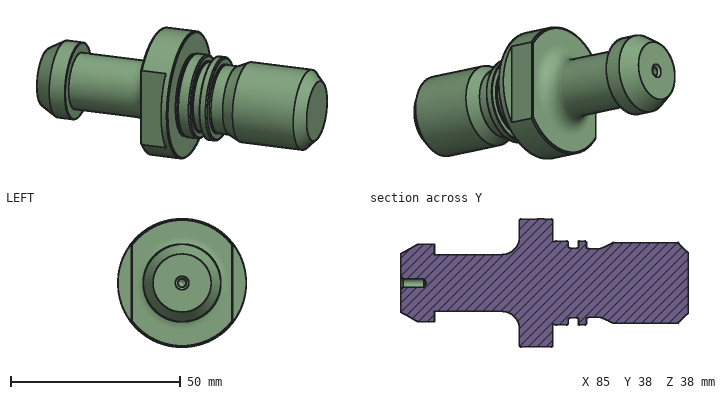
import cadquery as cq
import math

total_length = 85.0

head_radius = 23.0 / 2
nose_radius = 8.8
nose_edge_break = 0.25
head_cone_length = 5.0
head_end = 2 * head_cone_length
head_edge_break = 0.2

shank_radius = 16.9 / 2
shank_end_radius = 17.0 / 2
shank_front_taper = 0.6
shank_rear_taper = 0.3

flange_radius = 38.0 / 2
flange_start = 35.0
flange_end = 45.0
flange_front_break = 0.4
flange_rear_break = 0.3
flange_fillet_radius = 5.0
fillet_start = flange_start - flange_fillet_radius
flats_width = 30.0
flats_end = 42.9
flats_edge_break = 0.25

collar_radius = 25.0 / 2
collar_root_radius = 24.6 / 2
collar_root_length = 0.5
collar_root_taper = 0.5
collar_end = 49.55
ring_start = 52.5
ring_end = 54.9
rear_edge_break = 0.4
ring_front_break = 0.2
groove_radius = 20.8 / 2
groove_corner = 0.3

neck_radius = 20.5 / 2
neck_taper = 0.5
neck_end = 59.1
thread_radius = 24.0 / 2
thread_start = 62.8
thread_chamfer = 3.1

hole_radius = 2.5 / 2
hole_mouth_radius = 4.0 / 2
hole_depth = 6.8
countersink_depth = hole_mouth_radius - hole_radius
drill_point_angle = 118.0
drill_point_length = hole_radius / math.tan(math.radians(drill_point_angle / 2))


def revolve_about_x(profile):
    return profile.close().revolve(360, (0, 0, 0), (1, 0, 0))


def make_body():
    collar_start = flange_end + collar_root_length
    fillet_mid_offset = flange_fillet_radius * math.sin(math.radians(45))
    fillet_center_radius = shank_end_radius + flange_fillet_radius

    profile = (
        cq.Workplane("XY")
        .moveTo(0, 0)
        .lineTo(0, nose_radius - nose_edge_break)
        .lineTo(nose_edge_break, nose_radius)
        .lineTo(head_cone_length, head_radius)
        .lineTo(head_end - head_edge_break, head_radius)
        .lineTo(head_end, head_radius - head_edge_break)
        .lineTo(head_end, shank_end_radius)
        .lineTo(head_end + shank_front_taper, shank_radius)
        .lineTo(fillet_start - shank_rear_taper, shank_radius)
        .lineTo(fillet_start, shank_end_radius)
        .threePointArc(
            (fillet_start + fillet_mid_offset, fillet_center_radius - fillet_mid_offset),
            (flange_start, fillet_center_radius),
        )
        .lineTo(flange_start, flange_radius - flange_front_break)
        .lineTo(flange_start + flange_front_break, flange_radius)
        .lineTo(flange_end - flange_rear_break, flange_radius)
        .lineTo(flange_end, flange_radius - flange_rear_break)
        .lineTo(flange_end, collar_root_radius)
        .lineTo(collar_start, collar_root_radius)
        .lineTo(collar_start + collar_root_taper, collar_radius)
        .lineTo(collar_end - rear_edge_break, collar_radius)
        .lineTo(collar_end, collar_radius - rear_edge_break)
        .lineTo(collar_end, groove_radius + groove_corner)
        .lineTo(collar_end + groove_corner, groove_radius)
        .lineTo(ring_start - groove_corner, groove_radius)
        .lineTo(ring_start, groove_radius + groove_corner)
        .lineTo(ring_start, collar_radius - ring_front_break)
        .lineTo(ring_start + ring_front_break, collar_radius)
        .lineTo(ring_end - rear_edge_break, collar_radius)
        .lineTo(ring_end, collar_radius - rear_edge_break)
        .lineTo(ring_end, groove_radius)
        .lineTo(ring_end + neck_taper, neck_radius)
        .lineTo(neck_end, neck_radius)
        .lineTo(thread_start, thread_radius)
        .lineTo(total_length - thread_chamfer, thread_radius)
        .lineTo(total_length, thread_radius - thread_chamfer)
        .lineTo(total_length, 0)
    )
    return revolve_about_x(profile)


def make_flat_cutter(side):
    """Block outside one wrench flat; side is -1 or +1 along Y."""
    depth = flange_radius - flats_width / 2
    center_y = side * (flats_width + depth) / 2
    return cq.Workplane("XY").box(
        flats_end - flange_start, depth, 2 * flange_radius, centered=(False, True, True)
    ).translate((flange_start, center_y, 0))


def make_center_hole():
    profile = (
        cq.Workplane("XY")
        .moveTo(0, 0)
        .lineTo(0, hole_mouth_radius)
        .lineTo(countersink_depth, hole_radius)
        .lineTo(hole_depth, hole_radius)
        .lineTo(hole_depth + drill_point_length, 0)
    )
    return revolve_about_x(profile)


result = make_body().cut(make_center_hole())
for side in (-1, 1):
    result = result.cut(make_flat_cutter(side))

result = result.edges("|Z").edges("<X").chamfer(flats_edge_break)